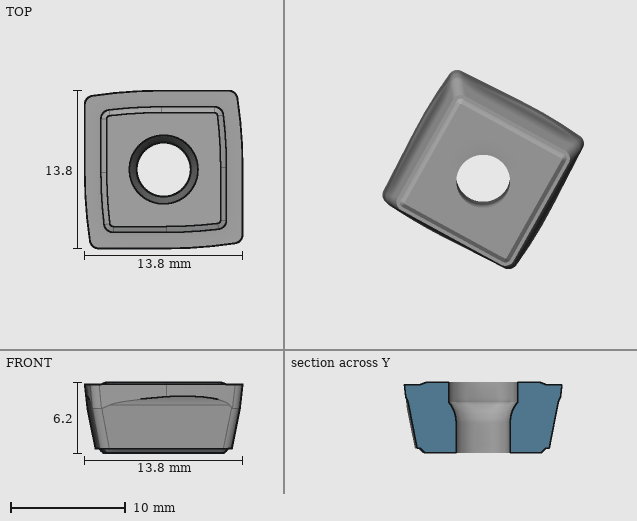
import cadquery as cq
import math

SIDES = 4
SIDE_STEP = 360.0 / SIDES

BOSS_HEIGHT = 0.4
RIM_Z = 6.0
TOTAL_HEIGHT = 6.2

EDGE_HALF = 6.9
EDGE_ARC_RADIUS = 40.0
ARC_START = 0.22
NOSE_RADIUS = 0.8
EDGE_RELIEF = 6.4

OUTSIDE = 1.5 * EDGE_HALF

BODY_TURN = 2.1
BODY_HALF = 5.78
BODY_RELIEF = 11.0
FLARE_Z = 4.24
FLARE_RADIUS = 2.2
FLARE_SWEEP = 65.0

BOSS_INSET = 0.3
BOSS_SLOPE = 45.0

LAND_INSET = 1.42
LAND_SLOPE_WIDTH = 0.51

HOLE_RADIUS = 3.0
THROAT_RADIUS = 2.35
SEAT_DEPTH = 1.75
THROAT_DEPTH = 3.43


def turned(point, index):
    """Rotate a point clockwise about Z by a number of side steps."""
    angle = -math.radians(SIDE_STEP * index)
    x, y = point
    return (x * math.cos(angle) - y * math.sin(angle), x * math.sin(angle) + y * math.cos(angle))


def on_circle(center, radius, angle):
    """Point on a circle at an angle in radians."""
    return (center[0] + radius * math.cos(angle), center[1] + radius * math.sin(angle))


def edge_outline(inset, nose_radius, z):
    """Cutting edge outline moved inward by inset, with its own nose radius."""
    half = EDGE_HALF - inset
    arc_radius = EDGE_ARC_RADIUS - inset
    arc_center = (half - arc_radius, ARC_START)
    nose_rise = half - nose_radius - ARC_START
    nose_angle = math.asin(nose_rise / (arc_radius - nose_radius))
    nose_center = on_circle(arc_center, arc_radius - nose_radius, nose_angle)
    mid_nose = (nose_angle + math.pi / 2) / 2
    corner = [
        (nose_center[0], half),
        on_circle(nose_center, nose_radius, mid_nose),
        on_circle(arc_center, arc_radius, nose_angle),
        on_circle(arc_center, arc_radius, nose_angle / 2),
        (half, ARC_START),
    ]
    outline = cq.Workplane("XY").workplane(offset=z).moveTo(-ARC_START, half)
    for index in range(SIDES):
        straight_end, nose_mid, nose_end, arc_mid, arc_end = [turned(p, index) for p in corner]
        outline = outline.lineTo(*straight_end)
        outline = outline.threePointArc(nose_mid, nose_end)
        outline = outline.threePointArc(arc_mid, arc_end)
    return outline.close().wire().val()


def body_outline(half, corner_radius, z):
    """Rounded square turned to the flank direction."""
    square = cq.Workplane("XY").workplane(offset=z).rect(2 * half, 2 * half).val()
    rounded = square.fillet2D(corner_radius, square.Vertices())
    return rounded.rotate(cq.Vector(0, 0, 0), cq.Vector(0, 0, 1), BODY_TURN)


def loft(lower, upper):
    return cq.Workplane(cq.Solid.makeLoft([lower, upper], True))


def flank_half(z):
    """Half width of the lower body at height z."""
    return BODY_HALF + (z - BOSS_HEIGHT) * math.tan(math.radians(BODY_RELIEF))


def edge_block():
    """Relieved block that carries the cutting edge, down to the flank foot."""
    inset = (RIM_Z - BOSS_HEIGHT) * math.tan(math.radians(EDGE_RELIEF))
    return loft(edge_outline(inset, NOSE_RADIUS, BOSS_HEIGHT), edge_outline(0, NOSE_RADIUS, RIM_Z))


def tapered_square():
    """Tapered square below the flare, with noses of constant radius."""
    foot = body_outline(BODY_HALF, NOSE_RADIUS, BOSS_HEIGHT)
    return loft(foot, body_outline(flank_half(FLARE_Z), NOSE_RADIUS, FLARE_Z))


def flare_cutter():
    """Material outside one flank above FLARE_Z, bounded by the concave flare."""
    start_angle = math.radians(180 - BODY_RELIEF)
    sweep = math.radians(FLARE_SWEEP)
    start = (flank_half(FLARE_Z), FLARE_Z)
    center = (
        start[0] - FLARE_RADIUS * math.cos(start_angle),
        start[1] - FLARE_RADIUS * math.sin(start_angle),
    )
    middle = on_circle(center, FLARE_RADIUS, start_angle - sweep / 2)
    end = on_circle(center, FLARE_RADIUS, start_angle - sweep)
    profile = cq.Workplane("XZ").moveTo(*start).threePointArc(middle, end)
    profile = profile.lineTo(OUTSIDE, end[1]).lineTo(OUTSIDE, FLARE_Z).close()
    return profile.extrude(2 * OUTSIDE, both=True)


def flanked_body():
    """Edge block trimmed by the tapered square and, above it, by the four flares."""
    flared = cq.Workplane("XY").workplane(offset=FLARE_Z).rect(2 * OUTSIDE, 2 * OUTSIDE)
    flared = flared.extrude(RIM_Z - FLARE_Z)
    cutter = flare_cutter()
    for index in range(SIDES):
        flared = flared.cut(cutter.rotate((0, 0, 0), (0, 0, 1), BODY_TURN + SIDE_STEP * index))
    return edge_block().intersect(flared.union(tapered_square()))


def seat_boss():
    shrink = BOSS_HEIGHT * math.tan(math.radians(BOSS_SLOPE))
    base_radius = NOSE_RADIUS - BOSS_INSET
    base_half = BODY_HALF - BOSS_INSET
    bottom = body_outline(base_half - shrink, base_radius - shrink, 0)
    return loft(bottom, body_outline(base_half, base_radius, BOSS_HEIGHT))


def raised_land():
    base = edge_outline(LAND_INSET, NOSE_RADIUS, RIM_Z)
    top_inset = LAND_INSET + LAND_SLOPE_WIDTH
    return loft(base, edge_outline(top_inset, NOSE_RADIUS - LAND_SLOPE_WIDTH, TOTAL_HEIGHT))


def screw_hole():
    """Counterbore, convex rounded seat tangent to the throat, then the through throat."""
    seat_z = TOTAL_HEIGHT - SEAT_DEPTH
    throat_z = TOTAL_HEIGHT - THROAT_DEPTH
    seat_width = HOLE_RADIUS - THROAT_RADIUS
    seat_height = seat_z - throat_z
    seat_radius = (seat_width ** 2 + seat_height ** 2) / (2 * seat_width)
    center = (THROAT_RADIUS + seat_radius, throat_z)
    half_sweep = math.asin(seat_height / seat_radius) / 2
    middle = on_circle(center, seat_radius, math.pi - half_sweep)
    profile = cq.Workplane("XZ").moveTo(0, 0).lineTo(THROAT_RADIUS, 0).lineTo(THROAT_RADIUS, throat_z)
    profile = profile.threePointArc(middle, (HOLE_RADIUS, seat_z))
    profile = profile.lineTo(HOLE_RADIUS, TOTAL_HEIGHT).lineTo(0, TOTAL_HEIGHT).close()
    return profile.revolve(360, (0, 0, 0), (0, 1, 0))


result = flanked_body().union(seat_boss()).union(raised_land()).cut(screw_hole())